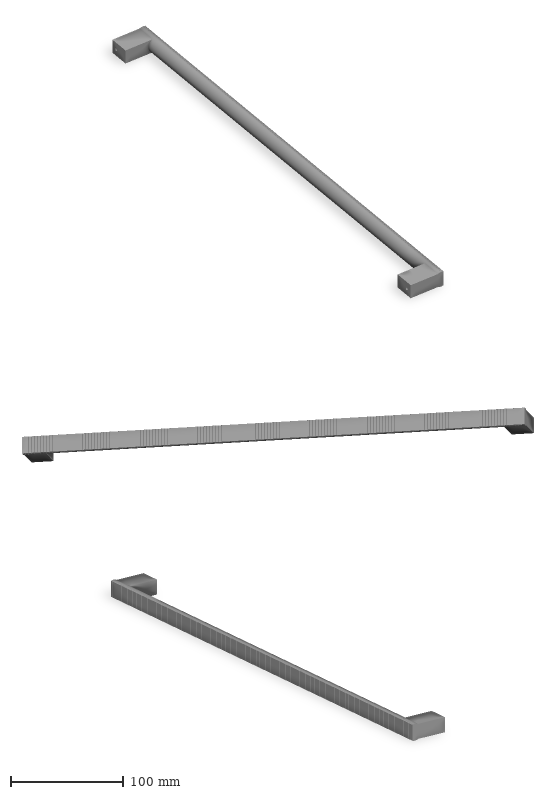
import cadquery as cq

length = 460.0
depth = 36.0
bar_diameter = 16.0
flat_offset = 2.8

groove_count = 165
groove_width = 0.25
groove_depth = 2.8

post_width = 20.2
post_height = 14.3

hole_diameter = 3.0
hole_depth = 14.0
hole_end_distance = 6.0

bar_radius = bar_diameter / 2
axis_y = depth - flat_offset
groove_pitch = length / (groove_count + 1)


def make_round_rod():
    """Full round rod along X, before its flat is cut."""
    return cq.Workplane("YZ", origin=(-length / 2, axis_y, 0)).circle(bar_radius).extrude(length)


def make_grooves():
    """Narrow slots that run along Z and open onto the flat."""
    centers = [
        ((i - (groove_count - 1) / 2) * groove_pitch, depth - groove_depth / 2)
        for i in range(groove_count)
    ]
    return (
        cq.Workplane("XY", origin=(0, 0, -bar_radius))
        .pushPoints(centers)
        .rect(groove_width, groove_depth)
        .extrude(bar_diameter)
    )


def make_bar():
    """Grip bar: a round rod with one grooved flat on the outer side."""
    inside_flat = cq.Workplane("XY").box(length, depth, bar_diameter).translate((0, depth / 2, 0))
    return make_round_rod().intersect(inside_flat).cut(make_grooves())


def make_post(side):
    """Post at one end (side is -1 or 1), hollowed to the bar and drilled for a screw."""
    center_x = side * (length - post_width) / 2
    hole_x = side * (length / 2 - hole_end_distance)
    block = (
        cq.Workplane("XY")
        .box(post_width, axis_y, post_height)
        .translate((center_x, axis_y / 2, 0))
    )
    hole = (
        cq.Workplane("XZ", origin=(hole_x, 0, 0))
        .circle(hole_diameter / 2)
        .extrude(-hole_depth)
    )
    return block.cut(make_round_rod()).cut(hole)


bar = make_bar()
posts = [make_post(side) for side in (-1, 1)]

result = cq.Compound.makeCompound([bar.val(), *[post.val() for post in posts]])